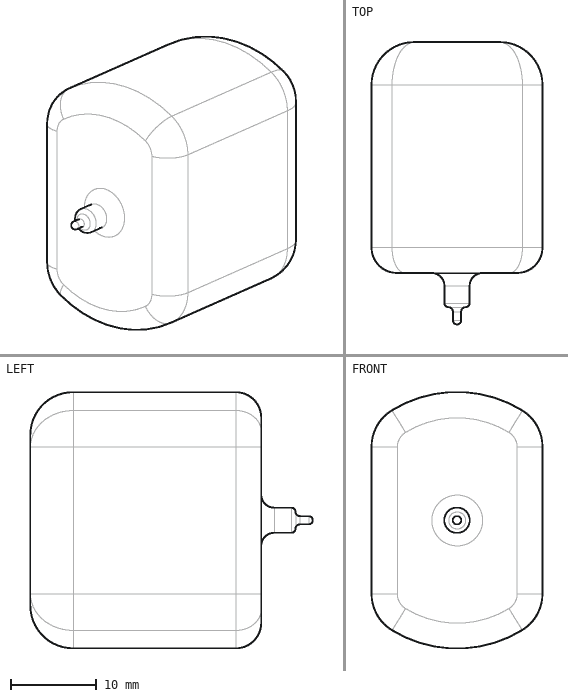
import cadquery as cq
import math

housing_width = 20.0
housing_height = 30.0
side_height = 22.0
total_length = 33.0

terminal_length = 6.0
post_radius = 1.5
post_length = 4.0
pin_radius = 0.5
shoulder_round = 0.5

housing_length = total_length - terminal_length

corner_radius = 5.0
rear_round = corner_radius
front_round = 3.0

post_fillet = post_radius
pin_fillet = post_radius - shoulder_round - pin_radius


def make_housing():
    """Block from y = 0 (front) to y = housing_length (rear), rounded all over."""
    half_width = housing_width / 2
    half_side = side_height / 2
    crown = housing_height / 2
    block = (
        cq.Workplane("XZ")
        .moveTo(half_width, -half_side)
        .lineTo(half_width, half_side)
        .threePointArc((0, crown), (-half_width, half_side))
        .lineTo(-half_width, -half_side)
        .threePointArc((0, -crown), (half_width, -half_side))
        .close()
        .extrude(-housing_length)
    )
    block = block.edges("|Y").fillet(corner_radius)
    block = block.faces("<Y").edges().fillet(front_round)
    return block.faces(">Y").edges().fillet(rear_round)


def quarter_arc(profile, center, radius, start_angle, end_angle):
    """Continue the profile with an arc about center, angles in degrees."""
    def point_at(angle):
        turn = math.radians(angle)
        return (center[0] + radius * math.cos(turn), center[1] + radius * math.sin(turn))

    return profile.threePointArc(point_at((start_angle + end_angle) / 2), point_at(end_angle))


def make_terminal():
    """Post and pin revolved about Y, flared into the front face and round-tipped."""
    shoulder_center = (post_radius - shoulder_round, shoulder_round - post_length)
    flare_center = (post_radius + post_fillet, -post_fillet)
    neck_center = (pin_radius + pin_fillet, -post_length - pin_fillet)
    tip_center = (0, pin_radius - terminal_length)

    profile = cq.Workplane("XY").moveTo(0, 0).lineTo(post_radius + post_fillet, 0)
    profile = quarter_arc(profile, flare_center, post_fillet, 90, 180)
    profile = profile.lineTo(post_radius, shoulder_center[1])
    profile = quarter_arc(profile, shoulder_center, shoulder_round, 0, -90)
    profile = quarter_arc(profile, neck_center, pin_fillet, 90, 180)
    profile = profile.lineTo(pin_radius, tip_center[1])
    profile = quarter_arc(profile, tip_center, pin_radius, 0, -90)
    return profile.close().revolve(360, (0, 0), (0, 1))


result = make_housing().union(make_terminal())